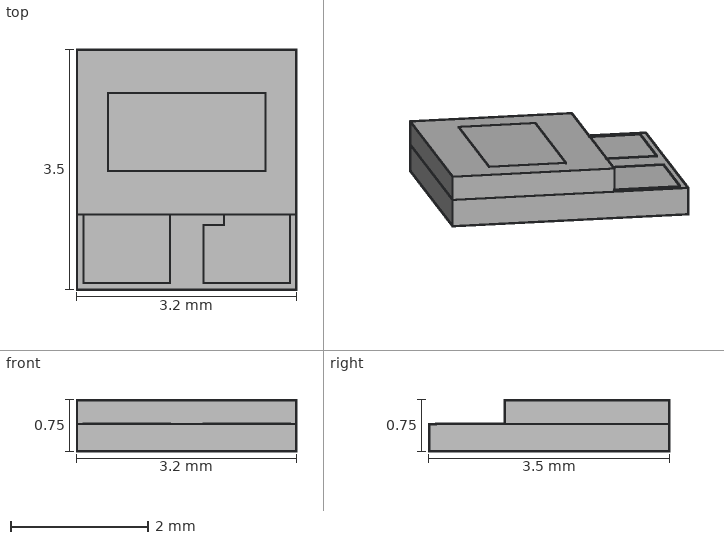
import cadquery as cq

WIDTH = 3.2
LENGTH = 3.5
HEIGHT = 0.75

BASE_HEIGHT = 0.4
FRAME_HEIGHT = HEIGHT - BASE_HEIGHT
FRAME_LENGTH = 2.4
FRAME_FRONT_Y = LENGTH / 2 - FRAME_LENGTH
FRAME_CENTER_Y = LENGTH / 2 - FRAME_LENGTH / 2

WINDOW_WIDTH = 2.3
WINDOW_LENGTH = 1.14

PAD_THICKNESS = 0.007
PAD_WIDTH = 1.26
PAD_SIDE_MARGIN = 0.095
PAD_FRONT_MARGIN = 0.1
PAD_FRONT_Y = -LENGTH / 2 + PAD_FRONT_MARGIN
PAD_LENGTH = FRAME_FRONT_Y - PAD_FRONT_Y
PAD_OFFSET_X = WIDTH / 2 - PAD_SIDE_MARGIN - PAD_WIDTH / 2

NOTCH_WIDTH = 0.3
NOTCH_LENGTH = 0.158


def block(width, length, height, center_x, center_y, bottom_z):
    """Rectangular block centred in plan, standing on bottom_z."""
    return (
        cq.Workplane("XY")
        .box(width, length, height, centered=(True, True, False))
        .translate((center_x, center_y, bottom_z))
    )


def make_base():
    return block(WIDTH, LENGTH, BASE_HEIGHT, 0, 0, 0)


def make_window_block():
    return block(WINDOW_WIDTH, WINDOW_LENGTH, FRAME_HEIGHT, 0, FRAME_CENTER_Y, BASE_HEIGHT)


def make_frame():
    """Cover with a window through its full height."""
    cover = block(WIDTH, FRAME_LENGTH, FRAME_HEIGHT, 0, FRAME_CENTER_Y, BASE_HEIGHT)
    return cover.cut(make_window_block())


def make_pad(center_x):
    """Contact pad reaching from the front margin to the frame."""
    center_y = PAD_FRONT_Y + PAD_LENGTH / 2
    return block(PAD_WIDTH, PAD_LENGTH, PAD_THICKNESS, center_x, center_y, BASE_HEIGHT)


def cut_marker_notch(pad, pad_center_x):
    """Remove the rear inner corner of the right pad."""
    notch_x = pad_center_x - PAD_WIDTH / 2 + NOTCH_WIDTH / 2
    notch_y = FRAME_FRONT_Y - NOTCH_LENGTH / 2
    notch = block(NOTCH_WIDTH, NOTCH_LENGTH, PAD_THICKNESS, notch_x, notch_y, BASE_HEIGHT)
    return pad.cut(notch)


base = make_base()
frame = make_frame()
window_block = make_window_block()

pads = []
for pad_center_x in (-PAD_OFFSET_X, PAD_OFFSET_X):
    pad = make_pad(pad_center_x)
    if pad_center_x > 0:
        pad = cut_marker_notch(pad, pad_center_x)
    pads.append(pad.val())

result = cq.Compound.makeCompound([base.val(), frame.val(), window_block.val(), *pads])